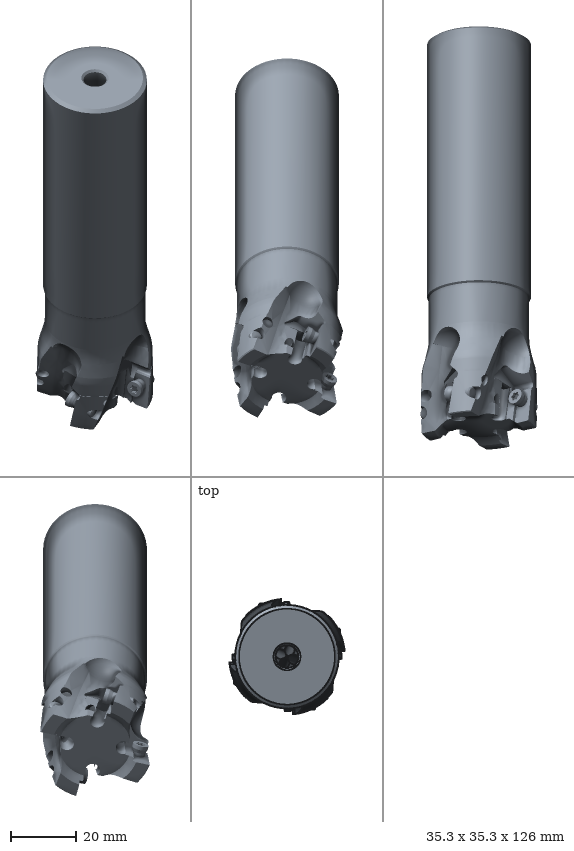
import cadquery as cq
import math

TEETH = 4
TOTAL_LENGTH = 126.04

SHANK_RADIUS = 15.875
TOP_CHAMFER_HEIGHT = 0.8
TOP_CHAMFER_WIDTH = 1.2
SHANK_BOTTOM_Z = 43.2
STEP_CHAMFER = 0.5
NECK_RADIUS = SHANK_RADIUS - STEP_CHAMFER
NECK_BOTTOM_Z = 30.0

CONE_TOP_Z = 24.7
CONE_BOTTOM_Z = 20.2
HEAD_TOP_Z = 17.5
HEAD_RADIUS = 17.6
LAND_RADIUS = 17.75
LAND_TOP_Z = 13.2
LAND_CHAMFER = 0.3
END_DISH_DEPTH = 1.8
END_DISH_FLOOR_RADIUS = 11.0
END_DISH_RADIUS = 13.5

BORE_RADIUS = 3.5
BORE_MOUTH_RADIUS = 4.15
BORE_BOTTOM_Z = 20.0
SEAT_COOLANT_RADIUS = 1.5
SEAT_COOLANT_START = (0, 0, BORE_BOTTOM_Z + BORE_RADIUS)
SEAT_COOLANT_EXIT = (-4.0, -10.0, 5.5)

BACK_HOLE_RADIUS = 1.75
BACK_HOLE_MOUTH = (-12.8, -15.0, 8.6)
BACK_HOLE_END = (-11.2, -9.0, 12.0)

FLUTE_RADIUS = 6.0
FLUTE_CENTER_RADIUS = 16.85
FLUTE_BALL_ANGLE = 265.6
FLUTE_BALL_Z = 23.7
FLUTE_HELIX = 19.3
FLUTE_OVERRUN = 4.0
FLUTE_OPENING = 7.0
FLUTE_WALL_ANGLE = 43.0
CUT_LENGTH = 20.0

AXIAL_RAKE = 10.3
SEAT_X = 1.7
SEAT_INNER_Y = -12.4
SEAT_STEP = 1.1
SEAT_HEIGHT = 12.5
SEAT_CUT_WIDTH = 9.0
SEAT_RELIEF_RADIUS = 0.95
POCKET_INNER_Y = -9.8
CHANNEL_RADIUS = 2.2
CHANNEL_X = -(SEAT_STEP + CHANNEL_RADIUS)
CHANNEL_Y = -8.5
CHANNEL_BOTTOM_Z = 2.0

CLEARANCE_CENTER = (-0.4, -10.0, 13.2)
CLEARANCE_WIDTH = 7.5
CLEARANCE_HEIGHT = 9.0
CLEARANCE_CORNER_RADIUS = 1.2
CLEARANCE_TURN = 45.0
CLEARANCE_FLOOR_SLOPE = 0.35

SCREW_Y = -14.3
SCREW_Z = 7.3
SCREW_RADIUS = 2.0
SCREW_HEAD_RADIUS = 2.45
SCREW_HEAD_TOP = 3.6
SCREW_HEAD_RIM = 1.2
SCREW_HEAD_TAPER = 1.2
SCREW_GRIP = 5.6
SCREW_END_CHAMFER = 0.4
SOCKET_RADIUS = 1.15
SOCKET_LOBES = 6
SOCKET_LOBE_RADIUS = 0.35
SOCKET_DEPTH = 1.2

RAKE = math.radians(AXIAL_RAKE)


def around_axis(shape, index):
    """Copy of a shape turned to tooth number `index`."""
    return shape.rotate((0, 0, 0), (0, 0, 1), index * 360.0 / TEETH)


def body_blank():
    """Turned outline of shank, neck and head, drawn on the -X side of the axis."""
    blend_height = NECK_BOTTOM_Z - CONE_TOP_Z
    crown_height = CONE_BOTTOM_Z - HEAD_TOP_Z
    mean_cone_height = CONE_TOP_Z - CONE_BOTTOM_Z + (blend_height + crown_height) / 2
    half_cone_slope = (HEAD_RADIUS - NECK_RADIUS) / mean_cone_height / 2
    blend_step = blend_height * half_cone_slope
    crown_step = crown_height * half_cone_slope
    profile = (
        cq.Workplane("XZ")
        .moveTo(0, TOTAL_LENGTH)
        .lineTo(-(SHANK_RADIUS - TOP_CHAMFER_WIDTH), TOTAL_LENGTH)
        .lineTo(-SHANK_RADIUS, TOTAL_LENGTH - TOP_CHAMFER_HEIGHT)
        .lineTo(-SHANK_RADIUS, SHANK_BOTTOM_Z)
        .lineTo(-NECK_RADIUS, SHANK_BOTTOM_Z - STEP_CHAMFER)
        .lineTo(-NECK_RADIUS, NECK_BOTTOM_Z)
        .tangentArcPoint((-(NECK_RADIUS + blend_step), CONE_TOP_Z), relative=False)
        .lineTo(-(HEAD_RADIUS - crown_step), CONE_BOTTOM_Z)
        .tangentArcPoint((-HEAD_RADIUS, HEAD_TOP_Z), relative=False)
        .lineTo(-HEAD_RADIUS, LAND_TOP_Z)
        .lineTo(-LAND_RADIUS, LAND_TOP_Z)
        .lineTo(-LAND_RADIUS, LAND_CHAMFER)
        .lineTo(-(LAND_RADIUS - LAND_CHAMFER), 0)
        .lineTo(-END_DISH_RADIUS, 0)
        .lineTo(-END_DISH_FLOOR_RADIUS, END_DISH_DEPTH)
        .lineTo(0, END_DISH_DEPTH)
        .close()
    )
    return profile.revolve(360, (0, 0, 0), (0, 1, 0))


def coolant_bore():
    """Central bore from the shank end with a conical mouth."""
    mouth_depth = BORE_MOUTH_RADIUS - BORE_RADIUS
    return (
        cq.Workplane("XZ")
        .polyline([
            (0, TOTAL_LENGTH),
            (-BORE_MOUTH_RADIUS, TOTAL_LENGTH),
            (-BORE_RADIUS, TOTAL_LENGTH - mouth_depth),
            (-BORE_RADIUS, BORE_BOTTOM_Z),
            (0, BORE_BOTTOM_Z),
        ])
        .close()
        .revolve(360, (0, 0, 0), (0, 1, 0))
    )


def drilled_hole(radius, start, end):
    """Straight round hole between two points on its axis."""
    origin = cq.Vector(*start)
    run = cq.Vector(*end) - origin
    return cq.Workplane(obj=cq.Solid.makeCylinder(radius, run.Length, origin, run))


def flute_cutter():
    """Helical ball-ended groove whose left wall slopes outwards, tangent to the round floor."""
    twist = math.tan(math.radians(FLUTE_HELIX)) / FLUTE_CENTER_RADIUS
    path_length = FLUTE_BALL_Z + FLUTE_OVERRUN
    path = cq.Wire.makeHelix(2 * math.pi / twist, path_length, FLUTE_CENTER_RADIUS)
    rise = twist * FLUTE_CENTER_RADIUS
    plane = cq.Plane(origin=(FLUTE_CENTER_RADIUS, 0, 0), xDir=(0, 1, -rise), normal=(0, -rise, -1))
    slope = math.radians(FLUTE_WALL_ANGLE)
    tangent = (-FLUTE_RADIUS * math.sin(slope), -FLUTE_RADIUS * math.cos(slope))
    wall_rise = FLUTE_OPENING - tangent[1]
    groove = (
        cq.Workplane(plane)
        .moveTo(FLUTE_RADIUS, FLUTE_OPENING)
        .lineTo(FLUTE_RADIUS, 0)
        .threePointArc((0, -FLUTE_RADIUS), tangent)
        .lineTo(tangent[0] - wall_rise / math.tan(slope), FLUTE_OPENING)
        .close()
        .sweep(path, isFrenet=True)
    )
    end_angle = math.degrees(twist * path_length)
    groove = groove.rotate((0, 0, 0), (0, 0, 1), FLUTE_BALL_ANGLE - end_angle)
    groove = groove.translate((0, 0, -FLUTE_OVERRUN))
    ball_angle = math.radians(FLUTE_BALL_ANGLE)
    ball_center = (
        FLUTE_CENTER_RADIUS * math.cos(ball_angle),
        FLUTE_CENTER_RADIUS * math.sin(ball_angle),
        FLUTE_BALL_Z,
    )
    ball = cq.Workplane("XY").sphere(FLUTE_RADIUS).translate(ball_center)
    return groove.union(ball)


def seat_cutter():
    """Stepped insert pocket with a round relief in its top corner and a round inner channel."""
    height = SEAT_HEIGHT + CUT_LENGTH
    seat = cq.Workplane("XY").box(SEAT_CUT_WIDTH, CUT_LENGTH, height, centered=False)
    seat = seat.translate((-SEAT_CUT_WIDTH, SEAT_INNER_Y - CUT_LENGTH, -CUT_LENGTH))
    pocket = cq.Workplane("XY").box(SEAT_CUT_WIDTH - SEAT_STEP, CUT_LENGTH, height, centered=False)
    pocket = pocket.translate((-SEAT_CUT_WIDTH, POCKET_INNER_Y - CUT_LENGTH, -CUT_LENGTH))
    relief = (
        cq.Workplane("XZ", origin=(0, SEAT_INNER_Y, SEAT_HEIGHT))
        .circle(SEAT_RELIEF_RADIUS)
        .extrude(CUT_LENGTH)
    )
    channel = (
        cq.Workplane("XY", origin=(CHANNEL_X, CHANNEL_Y, CHANNEL_BOTTOM_Z - CUT_LENGTH))
        .circle(CHANNEL_RADIUS)
        .extrude(CUT_LENGTH - CHANNEL_BOTTOM_Z + SEAT_HEIGHT)
    )
    cutter = seat.union(pocket).union(relief).union(channel)
    return cutter.rotate((0, 0, 0), (0, 1, 0), AXIAL_RAKE).translate((SEAT_X, 0, 0))


def clearance_cutter():
    """Rounded rectangle standing on its corner, cut radially down to a sloping floor."""
    prism = (
        cq.Workplane("XZ", origin=CLEARANCE_CENTER)
        .transformed(rotate=(0, 0, CLEARANCE_TURN))
        .rect(CLEARANCE_WIDTH, CLEARANCE_HEIGHT)
        .extrude(CUT_LENGTH, both=True)
        .edges("|Y")
        .fillet(CLEARANCE_CORNER_RADIUS)
    )
    floor = cq.Plane(origin=CLEARANCE_CENTER, xDir=(1, 0, 0), normal=(0, -1, CLEARANCE_FLOOR_SLOPE))
    open_side = cq.Workplane(floor).rect(CUT_LENGTH, CUT_LENGTH).extrude(CUT_LENGTH)
    return prism.intersect(open_side)


def screw_plane():
    """Plane on the seat at the screw; its normal points out of the seat along the screw."""
    seat_point = (SEAT_X + SCREW_Z * math.tan(RAKE), SCREW_Y, SCREW_Z)
    return cq.Plane(origin=seat_point, xDir=(0, -1, 0), normal=(-math.cos(RAKE), 0, math.sin(RAKE)))


def screw_hole():
    """Through hole that also clears the step beside the seat."""
    plane = screw_plane()
    return cq.Workplane(plane).workplane(offset=SEAT_STEP).circle(SCREW_RADIUS).extrude(-CUT_LENGTH)


def make_screw():
    """Countersunk screw with a six-lobe socket, standing proud of the empty seat."""
    taper_top = SCREW_HEAD_TOP - SCREW_HEAD_RIM
    outline = (
        cq.Workplane("XZ")
        .polyline([
            (0, SCREW_HEAD_TOP),
            (SCREW_HEAD_RADIUS, SCREW_HEAD_TOP),
            (SCREW_HEAD_RADIUS, taper_top),
            (SCREW_RADIUS, taper_top - SCREW_HEAD_TAPER),
            (SCREW_RADIUS, SCREW_END_CHAMFER - SCREW_GRIP),
            (SCREW_RADIUS - SCREW_END_CHAMFER, -SCREW_GRIP),
            (0, -SCREW_GRIP),
        ])
        .close()
        .revolve(360, (0, 0, 0), (0, 1, 0))
    )
    socket_top = cq.Workplane("XY", origin=(0, 0, SCREW_HEAD_TOP))
    socket = socket_top.circle(SOCKET_RADIUS).extrude(-SOCKET_DEPTH)
    lobes = (
        socket_top.polarArray(SOCKET_RADIUS, 0, 360, SOCKET_LOBES)
        .circle(SOCKET_LOBE_RADIUS)
        .extrude(-SOCKET_DEPTH)
    )
    screw = outline.cut(socket).cut(lobes)
    return cq.Workplane(obj=screw.val().moved(cq.Location(screw_plane())))


cutter_body = body_blank().cut(coolant_bore())
tooth_cutters = [
    flute_cutter(),
    seat_cutter(),
    clearance_cutter(),
    drilled_hole(SEAT_COOLANT_RADIUS, SEAT_COOLANT_START, SEAT_COOLANT_EXIT),
    drilled_hole(BACK_HOLE_RADIUS, BACK_HOLE_MOUTH, BACK_HOLE_END),
    screw_hole(),
]
for tooth in range(TEETH):
    for cutter in tooth_cutters:
        cutter_body = cutter_body.cut(around_axis(cutter, tooth))

first_screw = make_screw()
screws = [around_axis(first_screw, tooth).val() for tooth in range(TEETH)]

result = cq.Compound.makeCompound([cutter_body.val(), *screws])